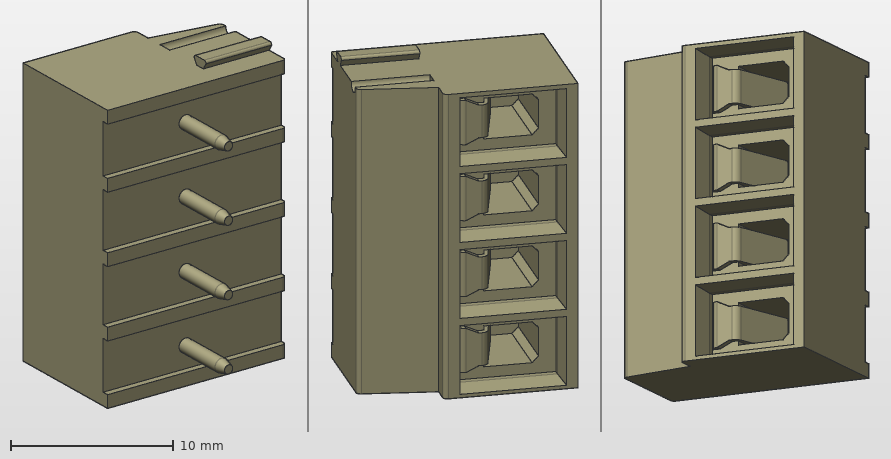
import cadquery as cq
import math

pole_count = 4
pole_pitch = 5.0
housing_height = 20.05
base_width = 8.52
foot_height = 0.48
foot_width = 0.93
housing_width = base_width + foot_height
housing_depth = 13.5

step_y = 8.52
slope_bottom_x = 1.35
slope_top_x = 2.15
outline_fillet = 0.3
foot_side_fillet = 0.2

rail_centre_x = 6.87
rail_height = 0.62
rail_width = 1.26
rail_base_width = 0.7
rail_edge_radius = 0.19
groove_centre_x = 3.12
groove_radius = 0.52

pocket_front_y = 0.72
pocket_length = 6.76
pocket_height = 4.53
pocket_draft_inset = 0.2
pocket_draft_depth = 1.53
pocket_floor_x = 1.96

opening_front_y = 2.03
opening_back_y = 5.5
opening_height = 2.69
opening_chamfer = 0.41
opening_floor_x = 7.24

spring_front_x = pocket_draft_depth
spring_back_y = 7.2
spring_bend_radius = 0.45
spring_neck_y = 5.91
spring_lower_bend_y = 5.7
spring_tip_x = 6.0
spring_wide_height = 2.92
spring_narrow_height = 2.15
spring_lean_degrees = 16.0

pin_y = 6.25
pin_diameter = 1.0
pin_tip_diameter = 0.62
pin_tip_x = 13.1
pin_cone_length = 0.75

pole_heights = [pole_pitch * (pole + 0.5) for pole in range(pole_count)]


def box_between(x_range, y_range, z_range):
    """Axis-aligned box between pairs of limits."""
    sizes = [limits[1] - limits[0] for limits in (x_range, y_range, z_range)]
    corner = (x_range[0], y_range[0], z_range[0])
    return cq.Workplane("XY").box(*sizes, centered=False).translate(corner)


def make_housing():
    """Stepped block with a sloped rear section, standing along Z."""
    block = (
        cq.Workplane("XY")
        .polyline([
            (0, 0),
            (housing_width, 0),
            (housing_width, housing_depth),
            (slope_top_x, housing_depth),
            (slope_bottom_x, step_y),
            (0, step_y),
        ])
        .close()
        .extrude(housing_height)
    )
    for corner in [(0, step_y), (slope_top_x, housing_depth)]:
        corner_edge = cq.selectors.NearestToPointSelector((*corner, housing_height / 2))
        block = block.edges("|Z").edges(corner_edge).fillet(outline_fillet)
    return block.edges("|Z and >X and >Y").fillet(foot_side_fillet)


def foot_gap(pole_z):
    """Clearance between two neighbouring feet on the solder side."""
    half_pitch = pole_pitch / 2
    low = pole_z - half_pitch + foot_width / 2
    high = pole_z + half_pitch - foot_width / 2
    if pole_z == pole_heights[0]:
        low = foot_width
    if pole_z == pole_heights[-1]:
        high = housing_height - foot_width
    return box_between((base_width, housing_width), (0, housing_depth), (low, high))


def make_rail():
    """Dovetail rail with rounded upper edges, along Y on the top face."""
    shoulder_z = rail_height - rail_edge_radius
    arc_offset = rail_edge_radius * (1 - math.sqrt(0.5))
    arc_side = rail_width / 2 - arc_offset
    arc_top = rail_height - arc_offset
    flat_half = rail_width / 2 - rail_edge_radius
    return (
        cq.Workplane("XZ", origin=(rail_centre_x, housing_depth, housing_height))
        .moveTo(-rail_base_width / 2, 0)
        .lineTo(rail_base_width / 2, 0)
        .lineTo(rail_width / 2, shoulder_z)
        .threePointArc((arc_side, arc_top), (flat_half, rail_height))
        .lineTo(-flat_half, rail_height)
        .threePointArc((-arc_side, arc_top), (-rail_width / 2, shoulder_z))
        .close()
        .extrude(housing_depth - step_y)
    )


def make_groove():
    """Half-round groove cutter along Y in the top face."""
    return (
        cq.Workplane("XZ", origin=(groove_centre_x, housing_depth, housing_height))
        .circle(groove_radius)
        .extrude(housing_depth - step_y)
    )


def make_pocket(pole_z):
    """Pocket cutter: drafted mouth, straight end and chamfered opening in its floor."""
    inner_length = pocket_length - 2 * pocket_draft_inset
    inner_height = pocket_height - 2 * pocket_draft_inset
    centre_y = pocket_front_y + pocket_length / 2
    mouth = (
        cq.Workplane("YZ", origin=(0, centre_y, pole_z))
        .rect(pocket_length, pocket_height)
        .workplane(offset=pocket_draft_depth)
        .rect(inner_length, inner_height)
        .loft(ruled=True)
    )
    straight_end = (
        cq.Workplane("YZ", origin=(pocket_draft_depth, centre_y, pole_z))
        .rect(inner_length, inner_height)
        .extrude(pocket_floor_x - pocket_draft_depth)
    )
    opening = box_between(
        (pocket_floor_x, opening_floor_x),
        (opening_front_y, opening_back_y),
        (pole_z - opening_height / 2, pole_z + opening_height / 2),
    )
    opening = opening.edges("|X and <Y").chamfer(opening_chamfer)
    return mouth.union(straight_end).union(opening)


def make_spring(pole_z):
    """Contact spring: flared plate, bent over at the back and leaning into the opening."""
    lean = math.radians(spring_lean_degrees)
    half_lean = math.radians((90 - spring_lean_degrees) / 2)
    radius = spring_bend_radius
    bend_centre_x = spring_front_x + radius
    lower_bend_end = (
        bend_centre_x - radius * math.sin(lean),
        spring_lower_bend_y - radius * math.cos(lean),
    )
    lower_bend_middle = (
        bend_centre_x - radius * math.cos(half_lean),
        spring_lower_bend_y - radius * math.sin(half_lean),
    )
    tip_y = lower_bend_end[1] - (spring_tip_x - lower_bend_end[0]) * math.tan(lean)
    upper_bend_y = spring_back_y - radius
    upper_bend_middle = (
        bend_centre_x - radius * math.sqrt(0.5),
        upper_bend_y + radius * math.sqrt(0.5),
    )
    side_profile = (
        cq.Workplane("XY", origin=(0, 0, pole_z))
        .moveTo(bend_centre_x, spring_back_y)
        .threePointArc(upper_bend_middle, (spring_front_x, upper_bend_y))
        .lineTo(spring_front_x, spring_lower_bend_y)
        .threePointArc(lower_bend_middle, lower_bend_end)
        .lineTo(spring_tip_x, tip_y)
        .lineTo(spring_tip_x, spring_back_y)
        .close()
        .extrude(spring_wide_height / 2, both=True)
    )
    wide = spring_wide_height / 2
    narrow = spring_narrow_height / 2
    flared_plate = (
        cq.Workplane("YZ", origin=(0, 0, pole_z))
        .polyline([
            (spring_back_y, wide),
            (upper_bend_y, wide),
            (spring_neck_y, narrow),
            (tip_y, narrow),
            (tip_y, -narrow),
            (spring_neck_y, -narrow),
            (upper_bend_y, -wide),
            (spring_back_y, -wide),
        ])
        .close()
        .extrude(spring_tip_x)
    )
    return side_profile.intersect(flared_plate)


def make_pin(pole_z):
    """Round solder pin with a conical tip, along X."""
    cone_start_x = pin_tip_x - pin_cone_length
    return (
        cq.Workplane("XY")
        .polyline([
            (base_width, 0),
            (base_width, pin_diameter / 2),
            (cone_start_x, pin_diameter / 2),
            (pin_tip_x, pin_tip_diameter / 2),
            (pin_tip_x, 0),
        ])
        .close()
        .revolve(360, (0, 0, 0), (1, 0, 0))
        .translate((0, pin_y, pole_z))
    )


result = make_housing().cut(make_groove()).union(make_rail())
for pole_height in pole_heights:
    result = result.cut(foot_gap(pole_height)).cut(make_pocket(pole_height))
    result = result.union(make_spring(pole_height)).union(make_pin(pole_height))